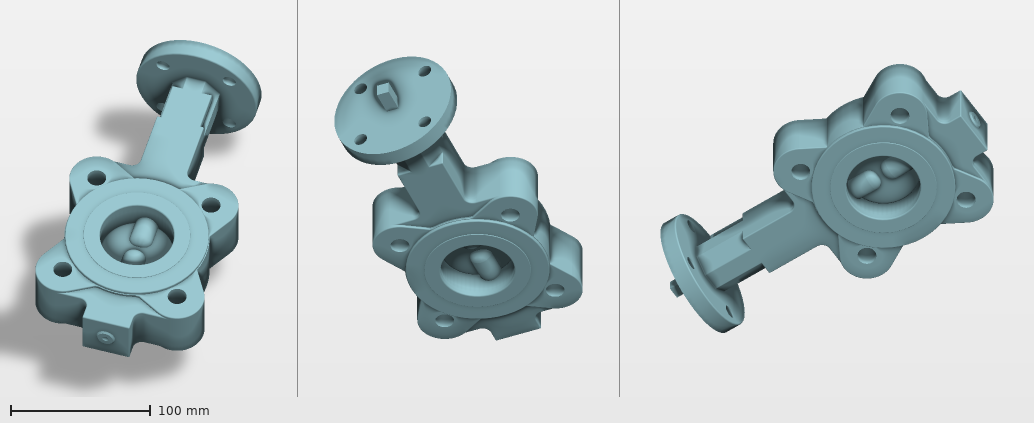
import cadquery as cq
import math


TOLERANCE = 0.03

WAIST_RADIUS = 52.0
RING_RADIUS = 51.5
RING_HALF_THICKNESS = 21.9
RING_ROUND = 0.8
SEAT_RADIUS = 38.3
SEAT_HALF_THICKNESS = 22.5
SEAT_ROUND = 0.4
BORE_RADIUS = 26.5
BORE_ROUND = 1.0

LUG_OFFSET = 42.7
LUG_RADIUS = 19.65
LUG_HALF_THICKNESS = 19.5
LUG_HOLE_DIAMETER = 13.5
LUG_SIDE_ANGLE = math.radians(30)
LUG_ROOT_Y = 50.2
LUG_ROOT_X = 48.2
LUG_ROUND = 0.8

ARM_WIDTH = 35.1
ARM_HALF = ARM_WIDTH / 2
ARM_FILLET = 6.5
EDGE_ROUND = 0.9
WEB_HALF_Y = LUG_OFFSET + LUG_RADIUS
STUB_END_Y = -78.4

NECK_START_Y = 109.8
NECK_CHAMFER = 10.7
NECK_ROUND = 1.0
LABEL_PAD_WIDTH = 29.7
LABEL_PAD_END_Y = 139.0

FLANGE_BOTTOM_Y = 149.0
FLANGE_TOP_Y = 162.0
FLANGE_RADIUS = 45.0
FLANGE_ROUND = 1.0
FLANGE_ROOT_FILLET = 0.8
FLANGE_HOLE_DIAMETER = 10.0
FLANGE_HOLE_SPACING = 49.5

DISC_HALF_THICKNESS = 2.3
DISC_ROUND = 1.5

STEM_RADIUS = 8.9
STEM_END_ROUND = 6.5
UPPER_STEM_INNER_Y = 4.5
SQUARE_SIDE = 9.0
SQUARE_END_Y = 180.6
LOWER_STEM_INNER_Y = 0.0
STEM_STEP_Y = -62.5
STEM_TIP_RADIUS = 7.0
STEM_TIP_Y = SQUARE_END_Y - 260.3
STEM_TIP_CHAMFER = 1.3
CENTRE_HOLE_RADIUS = 2.3


def plate(outline, half_thickness):
    """Extrude an XY outline symmetrically about Z = 0."""
    return outline.extrude(half_thickness, both=True)


def y_cylinder(radius, y_start, y_end):
    """Solid cylinder centred on the Y axis."""
    return (
        cq.Workplane("XZ", origin=(0, y_start, 0))
        .circle(radius)
        .extrude(y_start - y_end)
    )


def block(width, y_start, y_end, z_start, z_end):
    """Box centred on X = 0."""
    return cq.Workplane("XY").box(
        width, y_end - y_start, z_end - z_start, centered=(True, False, False)
    ).translate((0, y_start, z_start))


def lug_plate():
    """Four round lugs whose straight sides spread towards the ring."""
    along = math.sin(LUG_SIDE_ANGLE) * LUG_RADIUS
    across = math.cos(LUG_SIDE_ANGLE) * LUG_RADIUS
    tangent = (LUG_OFFSET - along, LUG_OFFSET + across)
    root_x = tangent[0] - (tangent[1] - LUG_ROOT_Y) / math.tan(LUG_SIDE_ANGLE)
    root_y = tangent[0] - (tangent[1] - LUG_ROOT_X) / math.tan(LUG_SIDE_ANGLE)
    tip = LUG_OFFSET + LUG_RADIUS * math.sqrt(0.5)

    outline = cq.Workplane("XY").moveTo(-root_x, LUG_ROOT_Y)
    for sx, sy in [(1, 1), (1, -1), (-1, -1), (-1, 1)]:
        beside_y = [(sx * root_x, sy * LUG_ROOT_Y), (sx * tangent[0], sy * tangent[1])]
        beside_x = [(sx * tangent[1], sy * tangent[0]), (sx * LUG_ROOT_X, sy * root_y)]
        corners = beside_y + beside_x
        if sx != sy:
            corners.reverse()
        outline = (
            outline.lineTo(*corners[0])
            .lineTo(*corners[1])
            .threePointArc((sx * tip, sy * tip), corners[2])
            .lineTo(*corners[3])
        )
    return plate(outline.close(), LUG_HALF_THICKNESS).faces("|Z").edges().fillet(LUG_ROUND)


def web_and_arm():
    """Web between the lugs, with the arm above and the stub below it."""
    outline = (
        cq.Workplane("XY")
        .moveTo(-LUG_OFFSET, -WEB_HALF_Y)
        .lineTo(-ARM_HALF, -WEB_HALF_Y)
        .lineTo(-ARM_HALF, STUB_END_Y)
        .lineTo(ARM_HALF, STUB_END_Y)
        .lineTo(ARM_HALF, -WEB_HALF_Y)
        .lineTo(LUG_OFFSET, -WEB_HALF_Y)
        .lineTo(LUG_OFFSET, WEB_HALF_Y)
        .lineTo(ARM_HALF, WEB_HALF_Y)
        .lineTo(ARM_HALF, NECK_START_Y)
        .lineTo(-ARM_HALF, NECK_START_Y)
        .lineTo(-ARM_HALF, WEB_HALF_Y)
        .lineTo(-LUG_OFFSET, WEB_HALF_Y)
        .close()
    )
    inner_corners = cq.selectors.BoxSelector(
        (-LUG_OFFSET + 2.5, -WEB_HALF_Y - 2.5, -2.5), (LUG_OFFSET - 2.5, WEB_HALF_Y + 2.5, 2.5)
    )
    body = plate(outline, ARM_HALF)
    body = body.edges("|Z").edges(inner_corners).fillet(ARM_FILLET)
    end_corners = body.faces("<Y or >Y").edges("|Z")
    body = end_corners.fillet(EDGE_ROUND)
    return body.faces("|Z").edges().fillet(EDGE_ROUND)


def neck():
    """Octagonal neck that carries the flange, with the label pad on top."""
    octagon = (
        block(ARM_WIDTH, NECK_START_Y - EDGE_ROUND, FLANGE_BOTTOM_Y, -ARM_HALF, ARM_HALF)
        .edges("|Y")
        .chamfer(NECK_CHAMFER)
        .faces("|Z")
        .edges("|Y")
        .fillet(NECK_ROUND)
    )
    pad = (
        block(LABEL_PAD_WIDTH, NECK_START_Y - ARM_FILLET, LABEL_PAD_END_Y, 0, ARM_HALF)
        .faces(">Z")
        .edges("|Y or >Y")
        .fillet(NECK_ROUND)
    )
    return octagon.union(pad)


def top_flange():
    """Round actuator flange with four bolt holes."""
    return (
        y_cylinder(FLANGE_RADIUS, FLANGE_BOTTOM_Y, FLANGE_TOP_Y)
        .faces("<Y")
        .edges()
        .fillet(FLANGE_ROUND)
        .faces(">Y")
        .workplane(centerOption="CenterOfBoundBox")
        .rect(FLANGE_HOLE_SPACING, FLANGE_HOLE_SPACING, forConstruction=True)
        .vertices()
        .hole(FLANGE_HOLE_DIAMETER)
    )


def neck_with_flange():
    """Neck and flange joined, with a fillet around the neck's end."""
    body = neck().union(top_flange())
    reach = ARM_HALF + TOLERANCE
    neck_end = cq.selectors.BoxSelector(
        (-reach, FLANGE_BOTTOM_Y - TOLERANCE, -reach),
        (reach, FLANGE_BOTTOM_Y + TOLERANCE, reach),
        boundingbox=True,
    )
    return body.edges(neck_end).fillet(FLANGE_ROOT_FILLET)


def bore():
    """Through bore of the valve."""
    return plate(cq.Workplane("XY").circle(BORE_RADIUS), SEAT_HALF_THICKNESS)


def ring():
    """Central ring with its waist, raised seat faces and rounded bore rims."""
    waist = plate(cq.Workplane("XY").circle(WAIST_RADIUS), LUG_HALF_THICKNESS)
    rim = plate(cq.Workplane("XY").circle(RING_RADIUS), RING_HALF_THICKNESS)
    rim = rim.faces("|Z").edges().fillet(RING_ROUND)
    seat = plate(cq.Workplane("XY").circle(SEAT_RADIUS), SEAT_HALF_THICKNESS)
    seat = seat.faces("|Z").edges().fillet(SEAT_ROUND)
    body = rim.union(waist).union(seat).cut(bore())
    bore_rims = cq.selectors.RadiusNthSelector(0)
    return body.faces(">Z or <Z").edges(bore_rims).fillet(BORE_ROUND)


def make_housing(stems):
    """Valve housing, bored for the disc and for the stems."""
    body = ring().union(lug_plate()).union(web_and_arm()).union(neck_with_flange())
    body = body.cut(bore())
    lug_holes = (
        cq.Workplane("XY")
        .rect(2 * LUG_OFFSET, 2 * LUG_OFFSET, forConstruction=True)
        .vertices()
        .circle(LUG_HOLE_DIAMETER / 2)
    )
    body = body.cut(plate(lug_holes, LUG_HALF_THICKNESS))
    stem_tip_hole = y_cylinder(STEM_TIP_RADIUS, STEM_TIP_Y, STEM_STEP_Y)
    body = body.cut(stem_tip_hole)
    for stem in stems:
        body = body.cut(stem)
    return body


def make_disc(stems):
    """Closed disc with rounded rim, let in around the stems."""
    body = plate(cq.Workplane("XY").circle(BORE_RADIUS), DISC_HALF_THICKNESS)
    body = body.faces("|Z").edges().fillet(DISC_ROUND)
    for stem in stems:
        body = body.cut(stem)
    return body


def make_upper_stem():
    """Drive stem with a rounded inner end and a square outer end."""
    shaft = y_cylinder(STEM_RADIUS, UPPER_STEM_INNER_Y, FLANGE_TOP_Y)
    shaft = shaft.faces("<Y").edges().fillet(STEM_END_ROUND)
    square = block(SQUARE_SIDE, FLANGE_TOP_Y, SQUARE_END_Y, -SQUARE_SIDE / 2, SQUARE_SIDE / 2)
    return shaft.union(square)


def make_lower_stem():
    """Pivot stem with a rounded inner end and a centre-drilled tip."""
    shaft = y_cylinder(STEM_RADIUS, STEM_STEP_Y, LOWER_STEM_INNER_Y)
    shaft = shaft.faces(">Y").edges().fillet(STEM_END_ROUND)
    tip = y_cylinder(STEM_TIP_RADIUS, STEM_TIP_Y, STEM_STEP_Y)
    tip = tip.faces("<Y").edges().chamfer(STEM_TIP_CHAMFER)
    centre_hole = cq.Workplane(
        cq.Solid.makeCone(
            CENTRE_HOLE_RADIUS, 0, CENTRE_HOLE_RADIUS, cq.Vector(0, STEM_TIP_Y, 0), cq.Vector(0, 1, 0)
        )
    )
    return shaft.union(tip).cut(centre_hole)


upper_stem = make_upper_stem()
lower_stem = make_lower_stem()
both_stems = [upper_stem, lower_stem]
housing = make_housing(both_stems)
disc = make_disc(both_stems)

result = cq.Compound.makeCompound(
    [housing.val(), disc.val(), upper_stem.val(), lower_stem.val()]
)